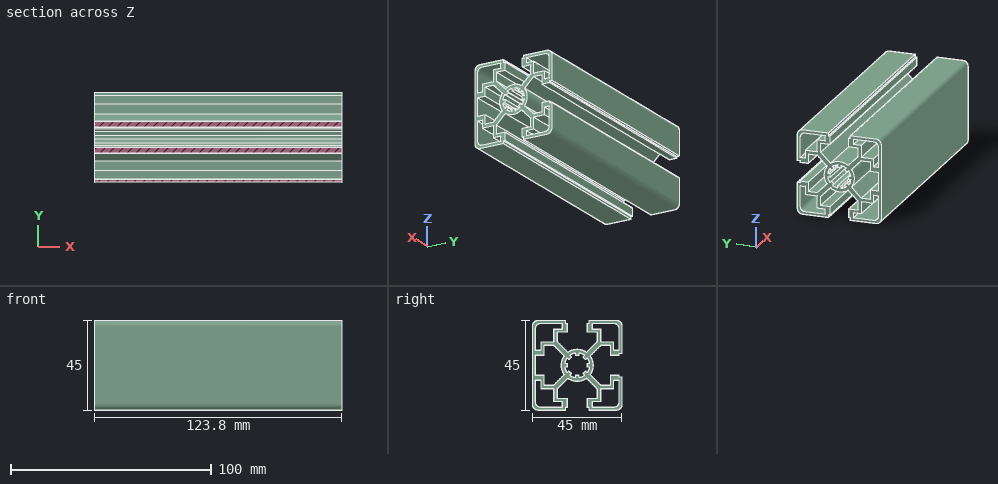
import cadquery as cq
import math

length = 123.8
side = 45.0
half_side = side / 2
corner_radius = 3.0
wall = 1.6
hollow_corner_radius = 2.5

mouth_width = 11.6
neck_width = 9.9
step_depth = 1.5
lip_depth = 6.0
slot_wide = 19.8
web_offset = 1.9

lip_end_wall = 2.6
lip_hollow_depth = 4.3

tube_radius = 8.0
bore_radius = 6.2
tooth_tip_radius = 5.0
tooth_width = 1.9
tooth_count = 8

quarter_turn = 90
closed_side_angle = quarter_turn



def extrude_outline(points):
    return cq.Workplane("YZ").polyline(points).close().extrude(length)


def make_bar():
    bar = cq.Workplane("YZ").rect(side, side).extrude(length)
    return bar.edges("|X").fillet(corner_radius)


def make_slot(is_open):
    """Slot void on the +Z side, narrowing at 45 degrees between the webs."""
    slot_half = slot_wide / 2
    neck_half = neck_width / 2
    lip_back = half_side - lip_depth
    neck_top = half_side - (step_depth if is_open else wall)
    right_side = [
        (slot_half, slot_half + web_offset),
        (slot_half, lip_back),
        (neck_half, lip_back),
        (neck_half, neck_top),
    ]
    if is_open:
        right_side += [(mouth_width / 2, neck_top), (mouth_width / 2, half_side)]
    left_side = [(-y, z) for y, z in reversed(right_side)]
    return extrude_outline([(0, web_offset)] + right_side + left_side)


def make_corner_hollow():
    """Hollow of the +Y +Z corner, reaching into the two neighbouring lips."""
    outer = half_side - wall
    lip_end = neck_width / 2 + lip_end_wall
    lip_inner = half_side - lip_hollow_depth
    elbow = slot_wide / 2 + web_offset
    hollow = extrude_outline([
        (outer, outer),
        (outer, lip_end),
        (lip_inner, lip_end),
        (lip_inner, elbow),
        (elbow, elbow),
        (elbow, lip_inner),
        (lip_end, lip_inner),
        (lip_end, outer),
    ])
    outer_edge = cq.selectors.NearestToPointSelector((length / 2, outer, outer))
    return hollow.edges(outer_edge).fillet(hollow_corner_radius)


def make_tooth():
    """Tooth on the +Z side of the bore, rooted inside the tube wall, with a tip concentric to the bore."""
    tooth_half = tooth_width / 2
    root = (bore_radius + tube_radius) / 2
    tip_corner = math.sqrt(tooth_tip_radius**2 - tooth_half**2)
    return (
        cq.Workplane("YZ")
        .moveTo(-tooth_half, tip_corner)
        .threePointArc((0, tooth_tip_radius), (tooth_half, tip_corner))
        .lineTo(tooth_half, root)
        .lineTo(-tooth_half, root)
        .close()
        .extrude(length)
    )


def turned(shape, angle):
    return shape.rotate((0, 0, 0), (1, 0, 0), angle)


result = make_bar()
corner_hollow = make_corner_hollow()
for angle in range(0, 360, quarter_turn):
    slot = make_slot(is_open=angle != closed_side_angle)
    result = result.cut(turned(slot, angle))
    result = result.cut(turned(corner_hollow, angle))

result = result.union(cq.Workplane("YZ").circle(tube_radius).extrude(length))
result = result.cut(cq.Workplane("YZ").circle(bore_radius).extrude(length))
tooth = make_tooth()
for index in range(tooth_count):
    result = result.union(turned(tooth, index * 360 / tooth_count))